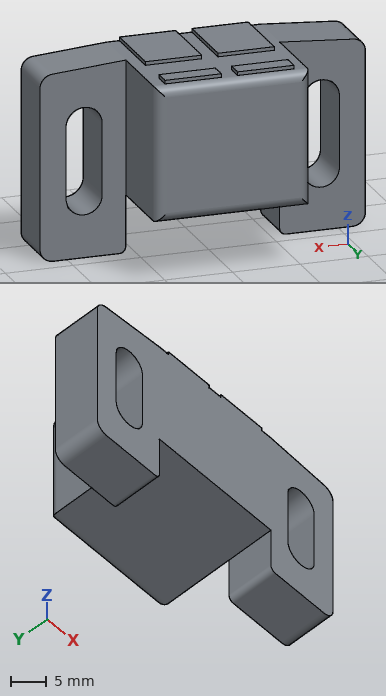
import cadquery as cq

width = 48.0
plate_depth = 8.0
total_depth = 21.0
total_height = 29.0
pad_height = 0.55
crown_height = total_height - pad_height
shoulder_drop = 0.95
outer_radius = 1.9
foot_radius = 0.95

block_width = 22.7
notch_height = 8.55
block_fillet = 1.45

slot_spacing = 35.0
slot_length = 15.85
slot_width = 5.35
slot_center_z = 14.25

pad_width = 8.3
pad_gap = 2.4
front_pad_depth = 11.0
rear_pad_start = 16.7
rear_pad_depth = 2.55


def make_plate():
    """Plate with a sloped crown, two feet and two mounting slots."""
    half = width / 2
    inner = block_width / 2
    shoulder_height = crown_height - shoulder_drop
    outline = [
        (-half, 0),
        (-inner, 0),
        (-inner, notch_height),
        (inner, notch_height),
        (inner, 0),
        (half, 0),
        (half, shoulder_height),
        (inner, crown_height),
        (-inner, crown_height),
        (-half, shoulder_height),
    ]
    plate = cq.Workplane("XZ").polyline(outline).close().extrude(-plate_depth)
    plate = plate.edges("|Y and (<X or >X)").fillet(outer_radius)
    foot_corners = cq.selectors.BoxSelector(
        (-inner - foot_radius, 0, -foot_radius), (inner + foot_radius, plate_depth, foot_radius)
    )
    plate = plate.edges("|Y").edges(foot_corners).fillet(foot_radius)
    slots = (
        cq.Workplane("XZ")
        .pushPoints([(side * slot_spacing / 2, slot_center_z) for side in (-1, 1)])
        .slot2D(slot_length, slot_width, 90)
        .extrude(-plate_depth)
    )
    return plate.cut(slots)


def make_block():
    """Block behind the plate, rounded all around its rear face."""
    block_height = crown_height - notch_height
    block = cq.Workplane("XY").box(block_width, total_depth, block_height, centered=(True, False, False))
    return block.translate((0, 0, notch_height)).faces(">Y").edges().fillet(block_fillet)


def make_pads(start, depth):
    """Pair of pads side by side on the top face, starting at y = start."""
    offset = (pad_width + pad_gap) / 2
    return (
        cq.Workplane("XY", origin=(0, start + depth / 2, crown_height))
        .pushPoints([(-offset, 0), (offset, 0)])
        .rect(pad_width, depth)
        .extrude(pad_height)
    )


result = (
    make_plate()
    .union(make_block())
    .union(make_pads(0, front_pad_depth))
    .union(make_pads(rear_pad_start, rear_pad_depth))
)